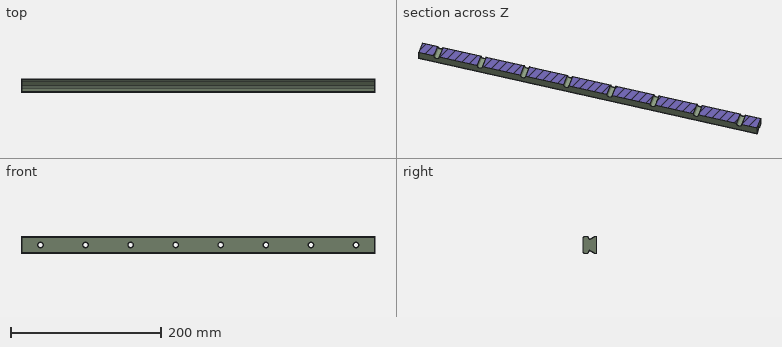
import cadquery as cq
import math

length = 470.0
depth = 18.0
height = 23.0

front_bevel = 1.62
groove_depth = 4.2
groove_y = -0.35
back_slope_angle = 30.0
front_wall_angle = 60.0
slope_length = 6.1
lip_radius = 20.0

hole_diameter = 7.0
hole_pitch = 60.0
hole_end_distance = 25.0
hole_count = 8


def half_section():
    """Upper half of the section, from mid-height to the top."""
    front = -depth / 2
    back = depth / 2
    top = height / 2
    vertex_z = top - groove_depth
    slope = math.radians(back_slope_angle)
    wall_run = groove_depth / math.tan(math.radians(front_wall_angle))

    lip_start_y = groove_y + slope_length * math.cos(slope)
    lip_start_z = vertex_z + slope_length * math.sin(slope)
    centre_y = lip_start_y - lip_radius * math.sin(slope)
    centre_z = lip_start_z + lip_radius * math.cos(slope)
    lip_end_y = centre_y + math.sqrt(lip_radius**2 - (centre_z - top) ** 2)

    return (
        cq.Workplane("YZ")
        .moveTo(front, 0)
        .lineTo(front, top - front_bevel)
        .lineTo(front + front_bevel, top)
        .lineTo(groove_y - wall_run, top)
        .lineTo(groove_y, vertex_z)
        .lineTo(lip_start_y, lip_start_z)
        .tangentArcPoint((lip_end_y, top), relative=False)
        .lineTo(back, top)
        .lineTo(back, 0)
        .close()
    )


def rail_body():
    upper = half_section().extrude(length / 2, both=True)
    return upper.union(upper.mirror("XY")).clean()


def mounting_holes():
    first_x = -length / 2 + hole_end_distance
    centres = [(first_x + i * hole_pitch, 0) for i in range(hole_count)]
    return cq.Workplane("XZ").pushPoints(centres).circle(hole_diameter / 2).extrude(depth, both=True)


result = rail_body().cut(mounting_holes())